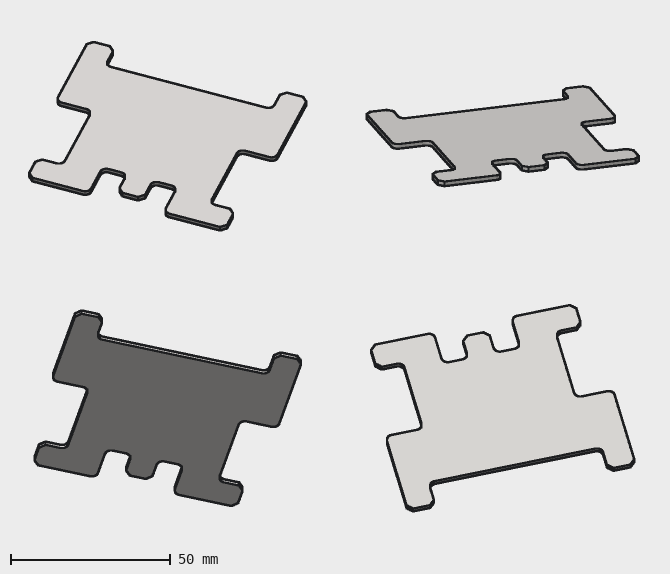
import cadquery as cq

width = 73.46
length = 64.0
thickness = 1.6

shoulder_half_width = width / 2
waist_half_width = 24.6
foot_half_width = 33.1
arm_inner_half_width = 27.9
notch_outer_half_width = 12.5
tab_half_width = 4.3

top_edge = length / 2
bottom_edge = -length / 2
recess_floor = top_edge - 8.6
shoulder_underside = top_edge - 29.1
foot_top = bottom_edge + 8.8
notch_ceiling = bottom_edge + 12.1
tab_tip = bottom_edge + 3.6

corner_radius = 2.0
end_chamfer = 1.7

chamfered_arm_corners = [(arm_inner_half_width, top_edge), (shoulder_half_width, top_edge)]
chamfered_foot_corners = [(foot_half_width, foot_top), (foot_half_width, bottom_edge)]
chamfered_tab_corner = (tab_half_width, tab_tip)
chamfered_corners = chamfered_arm_corners + chamfered_foot_corners + [chamfered_tab_corner]

recess_corner = (arm_inner_half_width, recess_floor)
shoulder_corners = [(shoulder_half_width, shoulder_underside), (waist_half_width, shoulder_underside)]
ankle_corner = (waist_half_width, foot_top)
notch_corners = [
    (notch_outer_half_width, bottom_edge),
    (notch_outer_half_width, notch_ceiling),
    (tab_half_width, notch_ceiling),
]
rounded_corners = [recess_corner] + shoulder_corners + [ankle_corner] + notch_corners

half_outline = (
    [(0, recess_floor), recess_corner]
    + chamfered_arm_corners
    + shoulder_corners
    + [ankle_corner]
    + chamfered_foot_corners
    + notch_corners
    + [chamfered_tab_corner, (0, tab_tip)]
)


def corner_edges(plate, corners):
    """Select the upright edges of the plate that stand on the given corners."""
    tolerance = 0.01
    selector = None
    for x, y in corners:
        box = cq.selectors.BoxSelector(
            (x - tolerance, y - tolerance, -tolerance),
            (x + tolerance, y + tolerance, thickness + tolerance),
        )
        selector = box if selector is None else selector + box
    return plate.edges("|Z").edges(selector)


def make_half_plate():
    """Right half of the plate with its corners rounded or chamfered."""
    plate = cq.Workplane("XY").polyline(half_outline).close().extrude(thickness)
    plate = corner_edges(plate, rounded_corners).fillet(corner_radius)
    return corner_edges(plate, chamfered_corners).chamfer(end_chamfer)


half_plate = make_half_plate()
result = half_plate.union(half_plate.mirror("YZ")).clean()